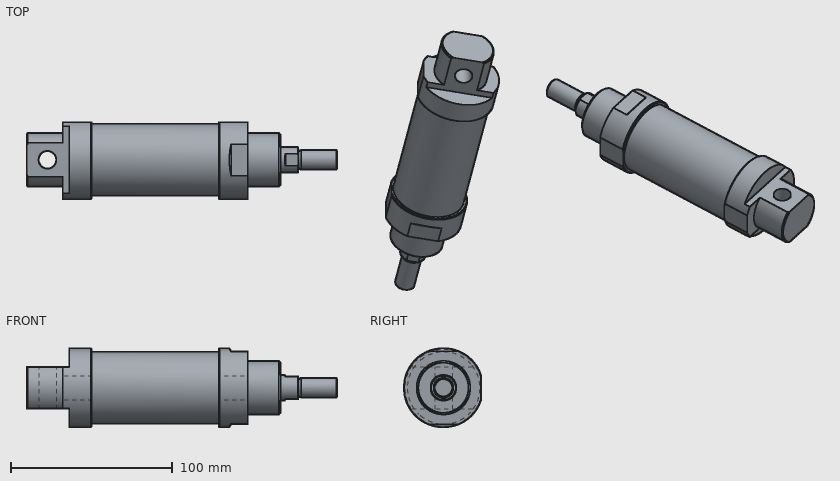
import cadquery as cq
import math

total_length = 192.0

lug_diameter = 33.2
lug_length = 22.3
lug_chamfer = 0.8
tongue_thickness = 26.0
cheek_length = 4.0
pivot_hole_diameter = 10.8
pivot_hole_x = 12.9

cap_diameter = 49.0
side_flat_depth = 1.2
cap_chamfer = 0.5

tube_diameter = 44.7
tube_start_x = 40.1
tube_length = 78.5

front_cap_length = 18.0
wrench_flat_span = 45.0
wrench_flat_length = 10.4
boss_diameter = 33.2
boss_length = 20.2
boss_chamfer = 1.2

collar_diameter = 16.0
collar_length = 11.0
collar_chamfer = 0.4
collar_flat_span = 14.0
collar_flat_length = 7.9
stud_diameter = 12.3
stud_chamfer = 0.8
stud_root_chamfer_length = 1.7
stud_root_chamfer_depth = 1.0

flat_ramp_angle = 60.0

cheek_end_x = lug_length + cheek_length
tube_end_x = tube_start_x + tube_length
boss_start_x = tube_end_x + front_cap_length
boss_end_x = boss_start_x + boss_length
collar_end_x = boss_end_x + collar_length


def cylinder(start_x, end_x, diameter):
    """Cylinder along X between two X positions."""
    return cq.Workplane("YZ", origin=(start_x, 0, 0)).circle(diameter / 2).extrude(end_x - start_x)


def box(x_range, y_range, z_range):
    """Box between the given limits on each axis."""
    size = [limits[1] - limits[0] for limits in (x_range, y_range, z_range)]
    corner = (x_range[0], y_range[0], z_range[0])
    return cq.Workplane("XY").box(*size, centered=False).translate(corner)


def cut_side_flat(cap, start_x, end_x):
    """Flatten the +Y side of a cap over its whole length."""
    radius = cap_diameter / 2
    return cap.cut(box((start_x, end_x), (radius - side_flat_depth, cap_diameter), (-radius, radius)))


def cut_wrench_flats(body, flat_start_x, end_x, diameter, flat_span):
    """Cut parallel flats at +Z and -Z up to end_x, each beginning with a sloping ramp."""
    flat_z = flat_span / 2
    clear_z = diameter
    ramp_run = (clear_z - flat_z) / math.tan(math.radians(flat_ramp_angle))
    for side in (1, -1):
        outline = [
            (flat_start_x, side * flat_z),
            (end_x, side * flat_z),
            (end_x, side * clear_z),
            (flat_start_x - ramp_run, side * clear_z),
        ]
        cutter = cq.Workplane("XZ").polyline(outline).close().extrude(diameter, both=True)
        body = body.cut(cutter)
    return body


def make_rear_cap():
    """Rear cap with a flat-sided pivot lug whose tongue runs on into the cap."""
    lug = cylinder(0, lug_length, lug_diameter).faces("<X").chamfer(lug_chamfer)
    cap = cylinder(lug_length, tube_start_x, cap_diameter).faces(">X").chamfer(cap_chamfer)
    cap = cut_side_flat(cap, lug_length, tube_start_x).union(lug)
    for side in (1, -1):
        z_limits = sorted((side * tongue_thickness / 2, side * cap_diameter))
        cap = cap.cut(box((0, cheek_end_x), (-cap_diameter, cap_diameter), z_limits))
    pivot_hole = (
        cq.Workplane("XY")
        .center(pivot_hole_x, 0)
        .circle(pivot_hole_diameter / 2)
        .extrude(tongue_thickness, both=True)
    )
    return cap.cut(pivot_hole)


def make_tube():
    """Solid barrel between the two caps."""
    return cylinder(tube_start_x, tube_end_x, tube_diameter)


def make_front_cap():
    """Front cap with wrench flats and a chamfered boss."""
    cap = cylinder(tube_end_x, boss_start_x, cap_diameter).faces("<X").chamfer(cap_chamfer)
    cap = cut_side_flat(cap, tube_end_x, boss_start_x)
    flat_start_x = boss_start_x - wrench_flat_length
    cap = cut_wrench_flats(cap, flat_start_x, boss_start_x, cap_diameter, wrench_flat_span)
    boss = cylinder(boss_start_x, boss_end_x, boss_diameter).faces(">X").chamfer(boss_chamfer)
    return cap.union(boss)


def make_stud():
    """Thin end of the rod, with a long chamfer at its root and a short one at its tip."""
    stud_radius = stud_diameter / 2
    stud = cylinder(collar_end_x, total_length, stud_diameter).faces(">X").chamfer(stud_chamfer)
    root_profile = [
        (collar_end_x, stud_radius - stud_root_chamfer_depth),
        (collar_end_x, stud_radius),
        (collar_end_x + stud_root_chamfer_length, stud_radius),
    ]
    root_chamfer = cq.Workplane("XY").polyline(root_profile).close().revolve(360, (0, 0, 0), (1, 0, 0))
    return stud.cut(root_chamfer)


def make_rod():
    """Rod end: a collar with wrench flats and a chamfered stud."""
    collar = cylinder(boss_end_x, collar_end_x, collar_diameter).faces(">X").chamfer(collar_chamfer)
    flat_start_x = collar_end_x - collar_flat_length
    collar = cut_wrench_flats(collar, flat_start_x, collar_end_x, collar_diameter, collar_flat_span)
    return collar.union(make_stud())


rear_cap = make_rear_cap()
tube = make_tube()
front_cap = make_front_cap()
rod = make_rod()

result = cq.Compound.makeCompound([rear_cap.val(), tube.val(), front_cap.val(), rod.val()])